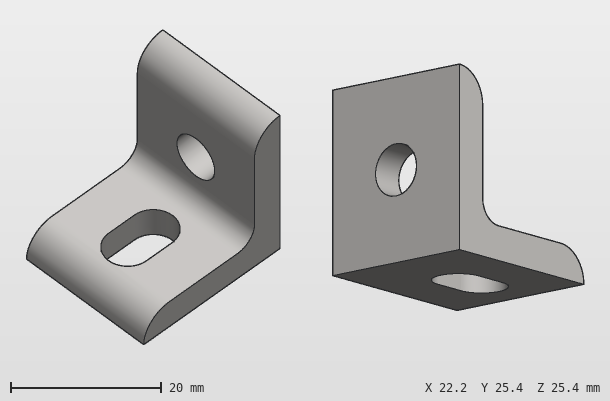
import cadquery as cq
import math

width = 22.225
leg_length = 25.4
thickness = 4.7625
inner_fillet = 3.175
hole_diameter = 7.14375
hole_height = leg_length / 2
slot_travel = 4.7625
slot_center = 15.08125



def angle_profile():
    """L-shaped section in the YZ plane, each tip rounded by a full-thickness quarter arc."""
    diagonal = math.sqrt(0.5)
    round_start = leg_length - thickness
    fillet_end = thickness + inner_fillet
    tip_mid = round_start + thickness * diagonal
    tip_rise = thickness * diagonal
    fillet_mid = fillet_end - inner_fillet * diagonal
    return (
        cq.Workplane("YZ")
        .lineTo(0, leg_length)
        .threePointArc((-tip_rise, tip_mid), (-thickness, round_start))
        .lineTo(-thickness, fillet_end)
        .threePointArc((-fillet_mid, fillet_mid), (-fillet_end, thickness))
        .lineTo(-round_start, thickness)
        .threePointArc((-tip_mid, tip_rise), (-leg_length, 0))
        .close()
    )


def wall_hole():
    """Round through hole in the upright leg."""
    return (
        cq.Workplane("XZ")
        .center(0, hole_height)
        .circle(hole_diameter / 2)
        .extrude(thickness)
    )


def base_slot():
    """Through slot in the base leg, long side along Y."""
    return (
        cq.Workplane("XY")
        .center(0, -slot_center)
        .slot2D(slot_travel + hole_diameter, hole_diameter, 90)
        .extrude(thickness)
    )


bracket = angle_profile().extrude(width / 2, both=True)
result = bracket.cut(wall_hole()).cut(base_slot())